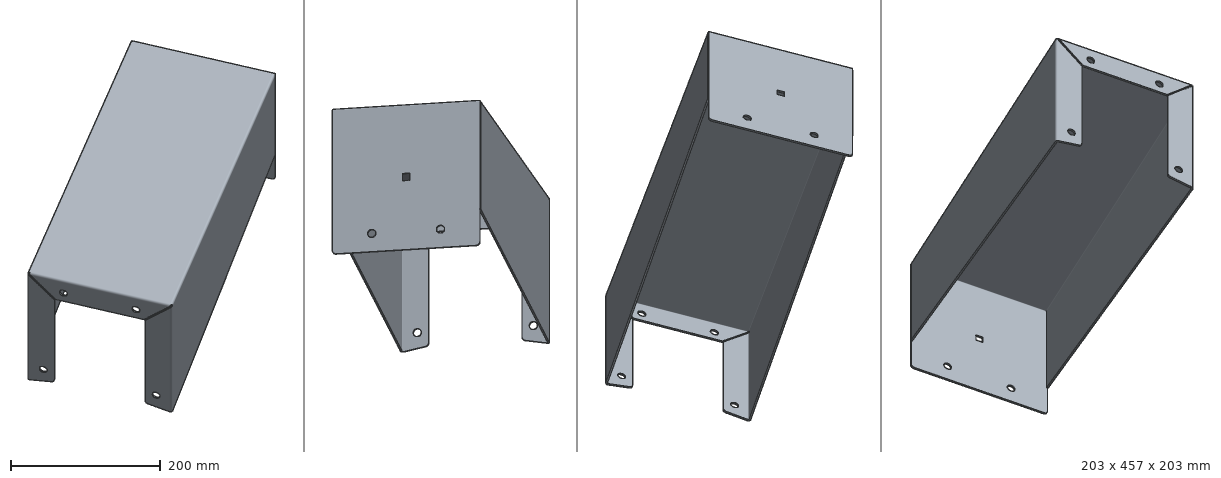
import cadquery as cq
import math

length = 457.0
width = 203.0
height = 203.0
thickness = 2.5
bend_radius = 3.45
inner_bend_radius = bend_radius - thickness

flange_width = 38.0
flange_bottom_rise = 6.5
lower_corner_radius = 5.0
miter_gap = 2.0
back_plate_inset = 1.0

side_rise_at_back = height / 4

hole_diameter = 11.0
lower_hole_height = 25.5
flange_hole_inset = 22.5
top_hole_spacing = 101.5
back_hole_spacing = 93.5
square_hole_size = 10.0
square_corner_radius = 1.0

front_y = -length / 2
back_y = length / 2
half_width = width / 2


def front_plane(y):
    """Sketch plane facing -Y, with local x along X and local y along Z."""
    return cq.Workplane("XZ", origin=(0, y, 0))


def make_shell():
    """Folded box, open at the bottom; the sides meet the flat back plate squarely."""
    outer = cq.Workplane("XY").box(width, length, height, centered=(True, True, False))
    outer = outer.edges("(|Z and <Y) or >Z").fillet(bend_radius)
    cavity = cq.Workplane("XY").box(
        width - 2 * thickness,
        length - 2 * thickness,
        height - thickness,
        centered=(True, True, False),
    )
    cavity = cavity.edges("(|Z and <Y) or >Z").fillet(inner_bend_radius)
    return outer.cut(cavity)


def front_opening():
    """Opening between the front flanges, with sloping flange ends at the bottom."""
    inner_x = half_width - flange_width
    bend_x = half_width - bend_radius
    opening = (
        front_plane(front_y)
        .polyline([
            (-bend_x, 0),
            (-inner_x, flange_bottom_rise),
            (-inner_x, height - flange_width),
            (inner_x, height - flange_width),
            (inner_x, flange_bottom_rise),
            (bend_x, 0),
        ])
        .close()
        .extrude(-bend_radius)
    )
    lower_corners = cq.selectors.BoxSelector(
        (-half_width, front_y - 4.5, flange_bottom_rise / 2),
        (half_width, front_y + 4.5, height / 2),
    )
    return opening.edges("|Y").edges(lower_corners).fillet(lower_corner_radius)


def miter_slot(side):
    """Diagonal gap between the top flange and one side flange."""
    slot_length = math.sqrt(2) * flange_width
    slot = front_plane(front_y).rect(2 * slot_length, miter_gap).extrude(-bend_radius)
    corner_center = (side * half_width, 0, height)
    slot = slot.rotate((0, front_y, 0), (0, front_y + 4.5, 0), -side * 45)
    return slot.translate(corner_center)


def side_taper():
    """Wedge below the sloping lower edges of both sides."""
    return (
        cq.Workplane("YZ")
        .polyline([
            (front_y + bend_radius, 0),
            (back_y - thickness, 0),
            (back_y - thickness, side_rise_at_back),
        ])
        .close()
        .extrude(half_width, both=True)
    )


def back_plate_side_trim():
    """Strips that set the back plate slightly inside the outer faces of the sides."""
    strip_x = half_width - back_plate_inset / 2
    return (
        front_plane(back_y - thickness)
        .pushPoints([(-strip_x, height / 2), (strip_x, height / 2)])
        .rect(back_plate_inset, height)
        .extrude(-thickness)
    )


def holes(y, centers):
    """Round cutters through the wall whose front face lies at y."""
    return front_plane(y).pushPoints(centers).circle(hole_diameter / 2).extrude(-thickness)


side_hole_x = half_width - flange_hole_inset
flange_hole_centers = [
    (side * x, z)
    for side in (-1, 1)
    for x, z in (
        (side_hole_x, lower_hole_height),
        (top_hole_spacing / 2, height - flange_hole_inset),
    )
]
back_hole_centers = [(side * back_hole_spacing / 2, lower_hole_height) for side in (-1, 1)]

back_inner_y = back_y - thickness
square_hole = (
    front_plane(back_inner_y)
    .center(0, height / 2)
    .rect(square_hole_size, square_hole_size)
    .extrude(-thickness)
    .edges("|Y")
    .fillet(square_corner_radius)
)

result = make_shell().cut(front_opening()).cut(side_taper()).cut(back_plate_side_trim())
back_lower_corners = cq.selectors.BoxSelector(
    (-width, back_y - thickness, -thickness),
    (width, back_y, thickness),
)
result = result.edges("|Y").edges(back_lower_corners).fillet(lower_corner_radius)
for side in (-1, 1):
    result = result.cut(miter_slot(side))
result = result.cut(holes(front_y, flange_hole_centers))
result = result.cut(holes(back_inner_y, back_hole_centers))
result = result.cut(square_hole)